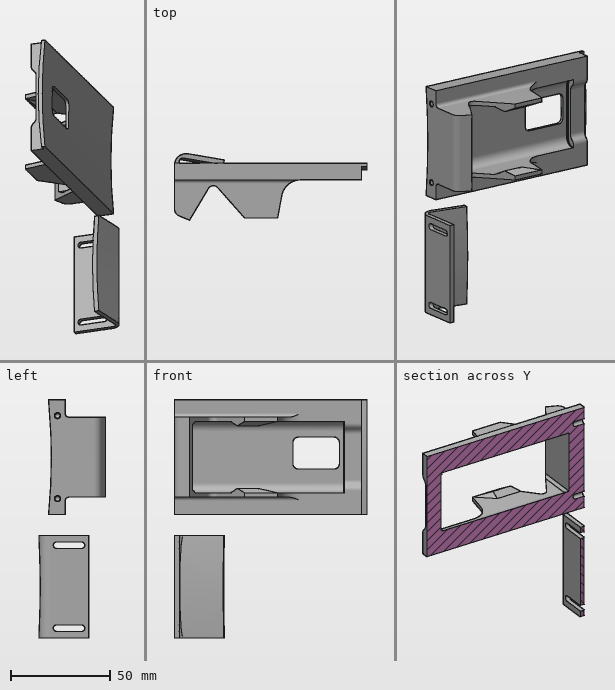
import cadquery as cq
import math


REAR_RADIUS = 291.4
OVERCUT = 6.0
SCREW_SPACING = 41.7
SLOT_WIDTH = 3.1

BRACKET_HEIGHT = 51.7
BRACKET_THICKNESS = 2.5
BRACKET_LENGTH = 25.2
LEG_FRONT_Y = -20.4
BEND_START_Y = -1.2
BEND_RADIUS = 6.0
BEND_INNER_RADIUS = 1.8
LEG_SLOPE = math.radians(9.7)
SLOT_FRONT_Y = -18.2
SLOT_REAR_Y = -2.5

TOP_Z = 119.9
MOUNT_HEIGHT = 57.8
MOUNT_Z = TOP_Z - MOUNT_HEIGHT / 2
PLATE_LENGTH = 94.2
PLATE_FRONT_Y = -8.5
LIP_END_X = 97.0
LIP_EDGE_Y = -1.8
LIP_CENTRE_Y = -3.6
SCREW_HOLE_DIAMETER = 2.5
SCREW_MOUTH_DIAMETER = 3.1
SCREW_HOLE_DEPTH = 6.0
SCREW_Y = -4.5
DRILL_POINT_ANGLE = 118.0

ARMS_WIDTH = 40.3
ARM_THICKNESS = 2.2
FOOT_FILLET = 1.8
HOOK_CORNER_Y = -25.7
HOOK_ROUND = 4.1
HOOK_TIP = (7.7, -28.8)
NOTCH_ROOT = (19.2, -9.5)
NOTCH_ROUND = 2.9
ARM_FRONT_Y = -27.7
ARM_START_X = 35.4
FLARE_END_X = 63.5
FLARE_RADIUS = 9.6
FLARE_SLOPE = math.radians(10.5)

RIDGE_HEIGHT = 2.3
RIDGE_PEAK_Y = -23.6
RIDGE_REAR_Y = -19.7
RIDGE_START_X = 24.0
RIDGE_TAPER_X = 42.3
RIDGE_END_X = 51.8

CAVITY_START_X = 9.2
CAVITY_END_X = 85.1
CAVITY_FLOOR_Y = -3.0
CAVITY_ROUND = 4.9
CAVITY_CORNER = 1.4
LEDGE_WIDTH = 0.5
LEDGE_Y = -4.2
CHANNEL_FLOOR_Y = -5.9
CHANNEL_FLOOR_WIDTH = 23.1
CHANNEL_MOUTH_WIDTH = 33.8
WINDOW_LENGTH = 23.3
WINDOW_HEIGHT = 16.0
WINDOW_X = 71.3
WINDOW_OFFSET_Z = 2.0
WINDOW_ROUND = 2.6

ARM_INNER_Z = ARMS_WIDTH / 2 - ARM_THICKNESS
FRONT_LIMIT_Y = HOOK_TIP[1] - OVERCUT


def hollow(plane, chord, length):
    """Slice of a large cylinder: chord along local Y through the origin, bulging to local -X."""
    sagitta = REAR_RADIUS - math.sqrt(REAR_RADIUS**2 - (chord / 2)**2)
    return (
        cq.Workplane(plane)
        .moveTo(0, -chord / 2)
        .threePointArc((-sagitta, 0), (0, chord / 2))
        .close()
        .extrude(length)
    )


def make_bracket():
    """Bent strap: a flat slotted leg along Y and a sloping leg with hollow faces."""
    middle_z = BRACKET_HEIGHT / 2
    bend_setback = BEND_RADIUS / math.tan((math.pi / 2 - LEG_SLOPE) / 2)
    corner_y = BEND_START_Y + bend_setback
    end_y = corner_y - BRACKET_LENGTH * math.tan(LEG_SLOPE)
    inner_end = (
        BRACKET_LENGTH - BRACKET_THICKNESS * math.sin(LEG_SLOPE),
        end_y - BRACKET_THICKNESS * math.cos(LEG_SLOPE),
    )
    inner_corner = (
        BRACKET_THICKNESS,
        inner_end[1] + (inner_end[0] - BRACKET_THICKNESS) * math.tan(LEG_SLOPE),
    )
    bracket = (
        cq.Workplane("XY")
        .moveTo(0, LEG_FRONT_Y)
        .lineTo(0, corner_y)
        .lineTo(BRACKET_LENGTH, end_y)
        .lineTo(*inner_end)
        .lineTo(*inner_corner)
        .lineTo(BRACKET_THICKNESS, LEG_FRONT_Y)
        .close()
        .extrude(BRACKET_HEIGHT)
    )
    bracket = bracket.edges(cq.NearestToPointSelector((0, corner_y, middle_z))).fillet(BEND_RADIUS)
    bracket = bracket.edges(cq.NearestToPointSelector((*inner_corner, middle_z))).fillet(BEND_INNER_RADIUS)

    along = cq.Vector(math.cos(LEG_SLOPE), -math.sin(LEG_SLOPE), 0)
    outward = cq.Vector(math.sin(LEG_SLOPE), math.cos(LEG_SLOPE), 0)
    outer_plane = cq.Plane((0, corner_y, middle_z), xDir=outward, normal=along)
    inner_plane = cq.Plane((*inner_corner, middle_z), xDir=outward, normal=along)
    inner_length = (inner_end[0] - inner_corner[0]) / math.cos(LEG_SLOPE)
    bracket = bracket.cut(hollow(outer_plane, BRACKET_HEIGHT, BRACKET_LENGTH + OVERCUT))
    bracket = bracket.union(hollow(inner_plane, BRACKET_HEIGHT, inner_length))

    slot_y = (SLOT_FRONT_Y + SLOT_REAR_Y) / 2
    slots = (
        cq.Workplane("YZ")
        .pushPoints([(slot_y, middle_z + side * SCREW_SPACING / 2) for side in (-1, 1)])
        .slot2D(SLOT_REAR_Y - SLOT_FRONT_Y, SLOT_WIDTH)
        .extrude(BRACKET_THICKNESS)
    )
    return bracket.cut(slots)



def make_plate():
    """Flat plate with a bowed lip on its far end."""
    plate = (
        cq.Workplane("YZ")
        .rect(-PLATE_FRONT_Y, MOUNT_HEIGHT)
        .extrude(PLATE_LENGTH)
        .translate((0, PLATE_FRONT_Y / 2, 0))
    )
    half = MOUNT_HEIGHT / 2
    lip = (
        cq.Workplane("YZ")
        .moveTo(0, -half)
        .lineTo(LIP_EDGE_Y, -half)
        .threePointArc((LIP_CENTRE_Y, 0), (LIP_EDGE_Y, half))
        .lineTo(0, half)
        .close()
        .extrude(LIP_END_X)
    )
    return plate.union(lip)


def make_arms():
    """Side outline of the end wall and arms, trimmed to a cross-section with rounded feet."""
    root_y = PLATE_FRONT_Y / 2
    flare_centre_y = PLATE_FRONT_Y - FLARE_RADIUS
    flare_start = (
        FLARE_END_X - FLARE_RADIUS * math.cos(FLARE_SLOPE),
        flare_centre_y + FLARE_RADIUS * math.sin(FLARE_SLOPE),
    )
    arm_end_x = flare_start[0] - (flare_start[1] - ARM_FRONT_Y) * math.tan(FLARE_SLOPE)
    flare_mid_angle = (1.5 * math.pi - FLARE_SLOPE) / 2
    outline = (
        cq.Workplane("XY")
        .moveTo(0, root_y)
        .lineTo(0, HOOK_CORNER_Y)
        .lineTo(*HOOK_TIP)
        .lineTo(*NOTCH_ROOT)
        .lineTo(ARM_START_X, ARM_FRONT_Y)
        .lineTo(arm_end_x, ARM_FRONT_Y)
        .lineTo(*flare_start)
        .threePointArc(
            (
                FLARE_END_X + FLARE_RADIUS * math.cos(flare_mid_angle),
                flare_centre_y + FLARE_RADIUS * math.sin(flare_mid_angle),
            ),
            (FLARE_END_X, PLATE_FRONT_Y),
        )
        .lineTo(FLARE_END_X, root_y)
        .close()
        .extrude(MOUNT_HEIGHT / 2, both=True)
    )
    outline = outline.edges(cq.NearestToPointSelector((0, HOOK_CORNER_Y, 0))).fillet(HOOK_ROUND)
    outline = outline.edges(cq.NearestToPointSelector((*NOTCH_ROOT, 0))).fillet(NOTCH_ROUND)

    half = ARMS_WIDTH / 2
    foot = half + FOOT_FILLET
    foot_y = PLATE_FRONT_Y - FOOT_FILLET
    section = (
        cq.Workplane("YZ")
        .moveTo(root_y, 0)
        .lineTo(root_y, foot)
        .lineTo(PLATE_FRONT_Y, foot)
        .radiusArc((foot_y, half), FOOT_FILLET)
        .lineTo(FRONT_LIMIT_Y, half)
        .lineTo(FRONT_LIMIT_Y, 0)
        .close()
        .extrude(FLARE_END_X)
    )
    section = section.union(section.mirror("XY"))
    return outline, outline.intersect(section)


def cavity_section(start_x, end_x, floor_y, corner_radius):
    """Open-fronted trough along X with rounded floor corners."""
    return (
        cq.Workplane("XY")
        .box(end_x - start_x, floor_y - FRONT_LIMIT_Y, 2 * ARM_INNER_Z, centered=(False, False, True))
        .edges(">Y and |X")
        .fillet(corner_radius)
        .translate((start_x, FRONT_LIMIT_Y, 0))
    )


def make_cavity():
    """Cavity between the arms, with cut-off corners at the end wall and a small ledge at the far end."""
    trough = cavity_section(CAVITY_START_X, CAVITY_END_X, CAVITY_FLOOR_Y, CAVITY_ROUND)
    corner_x = CAVITY_START_X + CAVITY_CORNER
    corner_z = ARM_INNER_Z - CAVITY_CORNER
    plan = (
        cq.Workplane("XZ")
        .polyline([
            (CAVITY_START_X, -corner_z),
            (corner_x, -ARM_INNER_Z),
            (CAVITY_END_X, -ARM_INNER_Z),
            (CAVITY_END_X, ARM_INNER_Z),
            (corner_x, ARM_INNER_Z),
            (CAVITY_START_X, corner_z),
        ])
        .close()
        .extrude(-FRONT_LIMIT_Y)
    )
    ledge_round = CAVITY_ROUND - (CAVITY_FLOOR_Y - LEDGE_Y)
    ledge = cavity_section(CAVITY_END_X, CAVITY_END_X + LEDGE_WIDTH, LEDGE_Y, ledge_round)
    return trough.intersect(plan).union(ledge)


def make_channel():
    """Shallow channel from the cavity to the lip, with S-shaped flanks."""
    floor_half = CHANNEL_FLOOR_WIDTH / 2
    mouth_half = CHANNEL_MOUTH_WIDTH / 2
    flank_middle = ((CHANNEL_FLOOR_Y + PLATE_FRONT_Y) / 2, (floor_half + mouth_half) / 2)
    channel = (
        cq.Workplane("YZ", origin=(CAVITY_END_X, 0, 0))
        .moveTo(CHANNEL_FLOOR_Y, 0)
        .lineTo(CHANNEL_FLOOR_Y, floor_half)
        .tangentArcPoint(flank_middle, relative=False)
        .tangentArcPoint((PLATE_FRONT_Y, mouth_half), relative=False)
        .lineTo(FRONT_LIMIT_Y, mouth_half)
        .lineTo(FRONT_LIMIT_Y, 0)
        .close()
        .extrude(PLATE_LENGTH - CAVITY_END_X)
    )
    return channel.union(channel.mirror("XY"))


def make_window():
    return (
        cq.Workplane("XZ")
        .center(WINDOW_X, WINDOW_OFFSET_Z)
        .rect(WINDOW_LENGTH, WINDOW_HEIGHT)
        .extrude(-PLATE_FRONT_Y)
        .edges("|Y")
        .fillet(WINDOW_ROUND)
    )


def make_screw_hole(z):
    """Blind hole along X with a chamfered mouth and a drill point."""
    radius = SCREW_HOLE_DIAMETER / 2
    mouth = SCREW_MOUTH_DIAMETER / 2
    point_length = radius / math.tan(math.radians(DRILL_POINT_ANGLE / 2))
    return (
        cq.Workplane("XY")
        .polyline([
            (0, 0),
            (0, mouth),
            (mouth - radius, radius),
            (SCREW_HOLE_DEPTH, radius),
            (SCREW_HOLE_DEPTH + point_length, 0),
        ])
        .close()
        .revolve(360, (0, 0, 0), (1, 0, 0))
        .translate((0, SCREW_Y, z))
    )


def make_ridge(arm_outline):
    """Snap ridge on the inside of the upper arm, sloping away at the flared end."""
    peak_z = ARM_INNER_Z - RIDGE_HEIGHT
    arm_middle_z = ARM_INNER_Z + ARM_THICKNESS / 2
    ridge = (
        cq.Workplane("YZ", origin=(RIDGE_START_X, 0, 0))
        .polyline([
            (ARM_FRONT_Y, arm_middle_z),
            (ARM_FRONT_Y, ARM_INNER_Z),
            (RIDGE_PEAK_Y, peak_z),
            (RIDGE_REAR_Y, ARM_INNER_Z),
            (RIDGE_REAR_Y, arm_middle_z),
        ])
        .close()
        .extrude(RIDGE_END_X - RIDGE_START_X)
    )
    run = RIDGE_END_X - RIDGE_TAPER_X
    rise = RIDGE_REAR_Y - ARM_FRONT_Y
    peak_distance = run * (RIDGE_REAR_Y - RIDGE_PEAK_Y) / math.hypot(run, rise)
    reach = ARMS_WIDTH / peak_distance
    end_line = cq.Plane(
        (RIDGE_END_X, ARM_FRONT_Y, ARM_INNER_Z), xDir=(0, 0, 1), normal=(-run, rise, 0)
    )
    taper = (
        cq.Workplane(end_line)
        .polyline([
            (ARM_THICKNESS, 0),
            (0, 0),
            (-reach * RIDGE_HEIGHT, -reach * peak_distance),
            (ARM_THICKNESS, -reach * peak_distance),
        ])
        .close()
        .extrude(ARMS_WIDTH, both=True)
    )
    return ridge.intersect(taper).intersect(arm_outline)


def make_mount():
    arm_outline, arms = make_arms()
    mount = make_plate().union(arms)
    mount = mount.cut(hollow(cq.Plane.YZ(), MOUNT_HEIGHT, LIP_END_X))
    mount = mount.cut(make_cavity()).cut(make_channel()).cut(make_window())
    for side in (-1, 1):
        mount = mount.cut(make_screw_hole(side * SCREW_SPACING / 2))
    ridge = make_ridge(arm_outline)
    mount = mount.union(ridge).union(ridge.mirror("XY"))
    return mount.translate((0, 0, MOUNT_Z))


mount = make_mount()
bracket = make_bracket()
result = cq.Compound.makeCompound([mount.val(), bracket.val()])